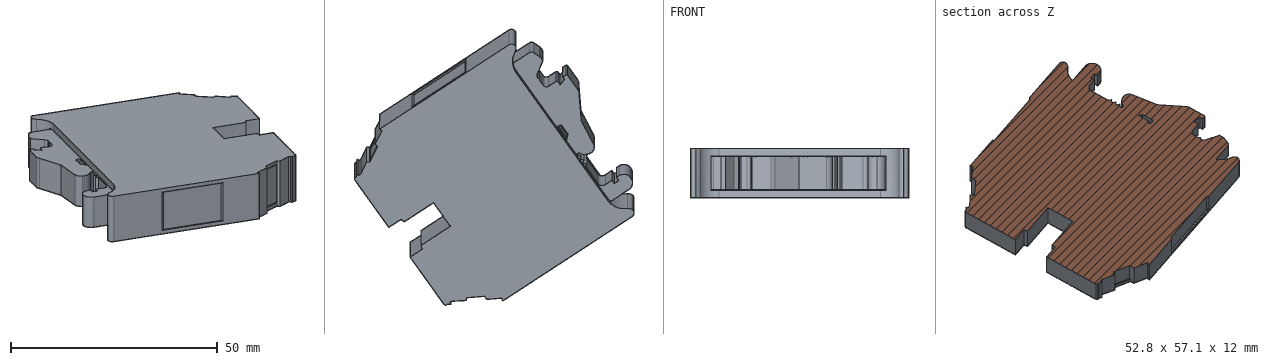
import cadquery as cq
import math


ARC_INSET = 1 - math.sqrt(0.5)

WIDTH = 52.8
TOTAL_HEIGHT = 57.11
THICKNESS = 12.0
FOOT_DROP = 9.55
TOP = TOTAL_HEIGHT - FOOT_DROP
HALF_WIDTH = WIDTH / 2
MID_Z = THICKNESS / 2

SHOULDER_Y = 35.1
SHOULDER_LIP = 0.2
SHOULDER_LIP_WIDTH = 0.4
SHOULDER_FOOT = (25.7, SHOULDER_Y)
LEDGE_EDGE = (23.9, 38.3)
UNDERCUT_EDGE = (21.3, 42.6)
UPPER_SLOPE_TOP = 45.5
CATCH_BOTTOM = 46.05
CATCH_TIP = (20.05, 46.2)
CATCH_TOP = 46.75
SLOT_HALF_WIDTH = 3.6
SLOT_MOUTH_HALF_WIDTH = 4.55
SLOT_STEP_Y = 43.7
SLOT_STEP_RISE = 0.25
TOP_HALF_WIDTH = 19.55
TOP_CORNER = 0.3

LEG_TIP_Y = -3.65
LEG_INNER_Y = -2.8
LEG_INNER_ARC_Y = -3.4
LEG_OUTER_RADIUS = 1.1
LEG_TIP_FLAT = 0.2
ARCH_FLAT_HALF_WIDTH = 19.55
ARCH_RADIUS = 5.0

RECESS_WIDTH = 10.0
SIDE_RECESS_DEPTH = 0.4
SIDE_RECESS_BOTTOM = 10.0
SIDE_RECESS_TOP = 25.85
SIDE_RECESS_BOTTOM_RUN = 0.5
SIDE_RECESS_TOP_RUN = 0.35
LABEL_DEPTH = 0.3

LABEL_TOP = (20.85, 42.0)
LABEL_BOTTOM = (22.95, 38.3)

FOOT_THICKNESS = 8.0
FOOT_GAP = 0.2
FOOT_GAP_DEPTH = 0.5
FOOT_ROOT = 2.0
FOOT_LEFT = -21.45
FOOT_RIGHT = 20.8
WEB_Y = -0.15

CLAW_ROUND_START_Y = -5.15
CLAW_ROUND_MID = (-21.3, -5.7)
CLAW_ROUND_END = (-20.8, -6.05)
CLAW_TIP_LEFT = -19.1
CLAW_TIP_RIGHT = -17.9
CLAW_TIP_Y = -6.73
CLAW_SLOPE_TOP = (-15.95, -3.85)
SEAT_ROUND_MID = (-15.7, -3.5)
SEAT_LEFT = -15.2
SEAT_BUMP_X = -14.55
SEAT_BUMP_HALF_WIDTH = 0.3
RAIL_SEAT_Y = -3.25
RAIL_SEAT_BUMP = 0.25
RAIL_WALL_X = -11.8
RAIL_SEAT_ROUND = 0.95
LATCH_NOTCH_TOP_X = -10.5
LATCH_NOTCH_BOTTOM_X = -11.0
LATCH_STEP_Y = -8.35
LATCH_CORNER = 0.3
HEEL_START_X = -7.0
HEEL_MID = (-6.45, -9.42)
HEEL_END = (-6.0, -9.15)
LATCH_BEND = (-0.2, -5.8)
LATCH_NOSE_X = 7.95
NOSE_FLAT_BOTTOM = -3.4
NOSE_FLAT_TOP = -3.0
NOSE_LOWER_START = (6.5, -4.85)
NOSE_LOWER_MID = (7.6, -4.25)
NOSE_UPPER_MID = (7.45, -1.65)
NOSE_UPPER_END = (6.3, -0.75)

HOOK_INNER_X = 16.55
HOOK_ROOT_RADIUS = 1.3
HOOK_NOTCH_DEPTH = 1.0
HOOK_NOTCH_TOP = -3.4
HOOK_NOTCH_BOTTOM = -4.7
HOOK_TIP_FLAT = 0.2
HOOK_TIP_RADIUS = (FOOT_RIGHT - HOOK_INNER_X - HOOK_TIP_FLAT) / 2
HOOK_TIP_Y = -7.5

TOOTH_COUNT = 3
TOOTH_PITCH = 1.23
TOOTH_FIRST_X = 7.25
TOOTH_WIDTH = 1.1
TOOTH_TIP_Y = -0.75

WINDOW_LEFT = -2.1
WINDOW_RIGHT = 1.9
WINDOW_BOTTOM = -1.2
WINDOW_SLANT = 1.0
WINDOW_CORNER = 0.25
BAR_LEFT = -1.5
BAR_BOTTOM = -0.55
BAR_THICKNESS = 4.0


def prism(outline, thickness):
    """Extrude a closed outline symmetrically about the mid-thickness plane."""
    return outline.extrude(thickness / 2, both=True).translate((0, 0, MID_Z))


def mirrored_pair(solid):
    return solid.union(solid.mirror("YZ"))


def half_housing():
    """Right-hand half of the housing, including its half of the top slot."""
    arch_angle = math.acos(1 + LEG_INNER_Y / ARCH_RADIUS)
    leg_inner_x = ARCH_FLAT_HALF_WIDTH + ARCH_RADIUS * math.sin(arch_angle)
    flat_outer_x = HALF_WIDTH - LEG_OUTER_RADIUS
    flat_inner_x = flat_outer_x - LEG_TIP_FLAT
    arch_mid = (
        ARCH_FLAT_HALF_WIDTH + ARCH_RADIUS * math.sin(arch_angle / 2),
        ARCH_RADIUS * (math.cos(arch_angle / 2) - 1),
    )
    outline = (
        cq.Workplane("XY")
        .moveTo(0, 0)
        .lineTo(ARCH_FLAT_HALF_WIDTH, 0)
        .threePointArc(arch_mid, (leg_inner_x, LEG_INNER_Y))
        .threePointArc(((leg_inner_x + flat_inner_x) / 2, LEG_INNER_ARC_Y), (flat_inner_x, LEG_TIP_Y))
        .lineTo(flat_outer_x, LEG_TIP_Y)
        .threePointArc(
            (HALF_WIDTH - LEG_OUTER_RADIUS * ARC_INSET, LEG_TIP_Y + LEG_OUTER_RADIUS * ARC_INSET),
            (HALF_WIDTH, LEG_TIP_Y + LEG_OUTER_RADIUS),
        )
        .lineTo(HALF_WIDTH, SHOULDER_Y + SHOULDER_LIP)
        .lineTo(HALF_WIDTH - SHOULDER_LIP_WIDTH, SHOULDER_Y + SHOULDER_LIP)
        .lineTo(*SHOULDER_FOOT)
        .lineTo(*LEDGE_EDGE)
        .lineTo(*LABEL_BOTTOM)
        .lineTo(*LABEL_TOP)
        .lineTo(*UNDERCUT_EDGE)
        .lineTo(TOP_HALF_WIDTH, UPPER_SLOPE_TOP)
        .lineTo(TOP_HALF_WIDTH, CATCH_BOTTOM)
        .lineTo(*CATCH_TIP)
        .lineTo(TOP_HALF_WIDTH, CATCH_TOP)
        .lineTo(TOP_HALF_WIDTH, TOP - TOP_CORNER)
        .lineTo(TOP_HALF_WIDTH - TOP_CORNER, TOP)
        .lineTo(SLOT_MOUTH_HALF_WIDTH, TOP)
        .lineTo(SLOT_MOUTH_HALF_WIDTH, SLOT_STEP_Y + SLOT_STEP_RISE)
        .lineTo(SLOT_HALF_WIDTH, SLOT_STEP_Y)
        .lineTo(SLOT_HALF_WIDTH, SHOULDER_Y)
        .lineTo(0, SHOULDER_Y)
        .close()
    )
    return prism(outline, THICKNESS)


def side_recess():
    """Shallow marker recess in the upright side, with slanted end walls."""
    floor_x = HALF_WIDTH - SIDE_RECESS_DEPTH
    outline = cq.Workplane("XY").polyline([
        (HALF_WIDTH, SIDE_RECESS_BOTTOM),
        (HALF_WIDTH, SIDE_RECESS_TOP),
        (floor_x, SIDE_RECESS_TOP - SIDE_RECESS_TOP_RUN),
        (floor_x, SIDE_RECESS_BOTTOM + SIDE_RECESS_BOTTOM_RUN),
    ]).close()
    return prism(outline, RECESS_WIDTH)


def label_recess():
    """Shallow recess following the shoulder slope, between the undercut and the ledge."""
    outline = cq.Workplane("XY").polyline([
        LABEL_TOP,
        LABEL_BOTTOM,
        (LABEL_BOTTOM[0] - LABEL_DEPTH, LABEL_BOTTOM[1]),
        (LABEL_TOP[0] - LABEL_DEPTH, LABEL_TOP[1]),
    ]).close()
    return prism(outline, RECESS_WIDTH)


def foot_groove():
    """Opening in the underside, slightly thicker than the foot, that leaves the clearance gap."""
    lower_y = -ARCH_RADIUS
    outline = (
        cq.Workplane("XY")
        .moveTo(FOOT_LEFT, FOOT_GAP_DEPTH)
        .lineTo(FOOT_RIGHT, FOOT_GAP_DEPTH)
        .lineTo(FOOT_RIGHT, lower_y)
        .lineTo(FOOT_LEFT, lower_y)
        .close()
    )
    return prism(outline, FOOT_THICKNESS + 2 * FOOT_GAP)


def foot_profile():
    """Rail foot: claw and latch arm on the left, web, and hook on the right."""
    seat_bend = RAIL_SEAT_ROUND * ARC_INSET
    root_bend = HOOK_ROOT_RADIUS * ARC_INSET
    tip_bend = HOOK_TIP_RADIUS * ARC_INSET
    latch_bottom = -FOOT_DROP
    return (
        cq.Workplane("XY")
        .moveTo(FOOT_LEFT, FOOT_ROOT)
        .lineTo(FOOT_LEFT, CLAW_ROUND_START_Y)
        .threePointArc(CLAW_ROUND_MID, CLAW_ROUND_END)
        .lineTo(CLAW_TIP_LEFT, CLAW_TIP_Y)
        .lineTo(CLAW_TIP_RIGHT, CLAW_TIP_Y)
        .lineTo(*CLAW_SLOPE_TOP)
        .threePointArc(SEAT_ROUND_MID, (SEAT_LEFT, RAIL_SEAT_Y))
        .lineTo(SEAT_BUMP_X - SEAT_BUMP_HALF_WIDTH, RAIL_SEAT_Y)
        .lineTo(SEAT_BUMP_X, RAIL_SEAT_Y - RAIL_SEAT_BUMP)
        .lineTo(SEAT_BUMP_X + SEAT_BUMP_HALF_WIDTH, RAIL_SEAT_Y)
        .lineTo(RAIL_WALL_X - RAIL_SEAT_ROUND, RAIL_SEAT_Y)
        .threePointArc(
            (RAIL_WALL_X - seat_bend, RAIL_SEAT_Y - seat_bend),
            (RAIL_WALL_X, RAIL_SEAT_Y - RAIL_SEAT_ROUND),
        )
        .lineTo(RAIL_WALL_X, CLAW_TIP_Y + LATCH_CORNER)
        .lineTo(RAIL_WALL_X + LATCH_CORNER, CLAW_TIP_Y)
        .lineTo(LATCH_NOTCH_TOP_X, CLAW_TIP_Y)
        .lineTo(LATCH_NOTCH_BOTTOM_X, LATCH_STEP_Y)
        .lineTo(RAIL_WALL_X, LATCH_STEP_Y)
        .lineTo(RAIL_WALL_X, latch_bottom + LATCH_CORNER)
        .lineTo(RAIL_WALL_X + LATCH_CORNER, latch_bottom)
        .lineTo(HEEL_START_X, latch_bottom)
        .threePointArc(HEEL_MID, HEEL_END)
        .lineTo(*LATCH_BEND)
        .lineTo(*NOSE_LOWER_START)
        .threePointArc(NOSE_LOWER_MID, (LATCH_NOSE_X, NOSE_FLAT_BOTTOM))
        .lineTo(LATCH_NOSE_X, NOSE_FLAT_TOP)
        .threePointArc(NOSE_UPPER_MID, NOSE_UPPER_END)
        .lineTo(NOSE_UPPER_END[0], WEB_Y)
        .lineTo(HOOK_INNER_X - HOOK_ROOT_RADIUS, WEB_Y)
        .threePointArc(
            (HOOK_INNER_X - root_bend, WEB_Y - root_bend),
            (HOOK_INNER_X, WEB_Y - HOOK_ROOT_RADIUS),
        )
        .lineTo(HOOK_INNER_X, HOOK_NOTCH_TOP)
        .lineTo(HOOK_INNER_X + HOOK_NOTCH_DEPTH, HOOK_NOTCH_TOP)
        .lineTo(HOOK_INNER_X + HOOK_NOTCH_DEPTH, HOOK_NOTCH_BOTTOM)
        .lineTo(HOOK_INNER_X, HOOK_NOTCH_BOTTOM)
        .lineTo(HOOK_INNER_X, HOOK_TIP_Y + HOOK_TIP_RADIUS)
        .threePointArc(
            (HOOK_INNER_X + tip_bend, HOOK_TIP_Y + tip_bend),
            (HOOK_INNER_X + HOOK_TIP_RADIUS, HOOK_TIP_Y),
        )
        .lineTo(FOOT_RIGHT - HOOK_TIP_RADIUS, HOOK_TIP_Y)
        .threePointArc(
            (FOOT_RIGHT - tip_bend, HOOK_TIP_Y + tip_bend),
            (FOOT_RIGHT, HOOK_TIP_Y + HOOK_TIP_RADIUS),
        )
        .lineTo(FOOT_RIGHT, FOOT_ROOT)
        .close()
    )


def tooth(index):
    """Small ratchet tooth under the web."""
    x = TOOTH_FIRST_X + index * TOOTH_PITCH
    outline = cq.Workplane("XY").polyline([
        (x - TOOTH_WIDTH / 2, 0),
        (x + TOOTH_WIDTH / 2, 0),
        (x + TOOTH_WIDTH / 2, WEB_Y),
        (x, TOOTH_TIP_Y),
        (x - TOOTH_WIDTH / 2, WEB_Y),
    ]).close()
    return prism(outline, FOOT_THICKNESS)


def window():
    """Through opening in the foot just under the housing."""
    outline = cq.Workplane("XY").polyline([
        (WINDOW_LEFT, WEB_Y),
        (WINDOW_RIGHT, WEB_Y),
        (WINDOW_RIGHT - WINDOW_SLANT, WINDOW_BOTTOM),
        (WINDOW_LEFT + WINDOW_CORNER, WINDOW_BOTTOM),
        (WINDOW_LEFT, WINDOW_BOTTOM + WINDOW_CORNER),
    ]).close()
    return prism(outline, FOOT_THICKNESS)


def window_bar():
    """Thinner bar along the upper edge of the window."""
    outline = cq.Workplane("XY").polyline([
        (BAR_LEFT, FOOT_ROOT),
        (WINDOW_RIGHT, FOOT_ROOT),
        (WINDOW_RIGHT, BAR_BOTTOM),
        (BAR_LEFT, BAR_BOTTOM),
    ]).close()
    return prism(outline, BAR_THICKNESS)


def rail_foot():
    foot = prism(foot_profile(), FOOT_THICKNESS)
    for index in range(TOOTH_COUNT):
        foot = foot.union(tooth(index))
    return foot.cut(window()).union(window_bar())


def housing():
    body = mirrored_pair(half_housing())
    body = body.cut(mirrored_pair(side_recess()))
    body = body.cut(mirrored_pair(label_recess()))
    return body.cut(foot_groove())


result = housing().union(rail_foot())